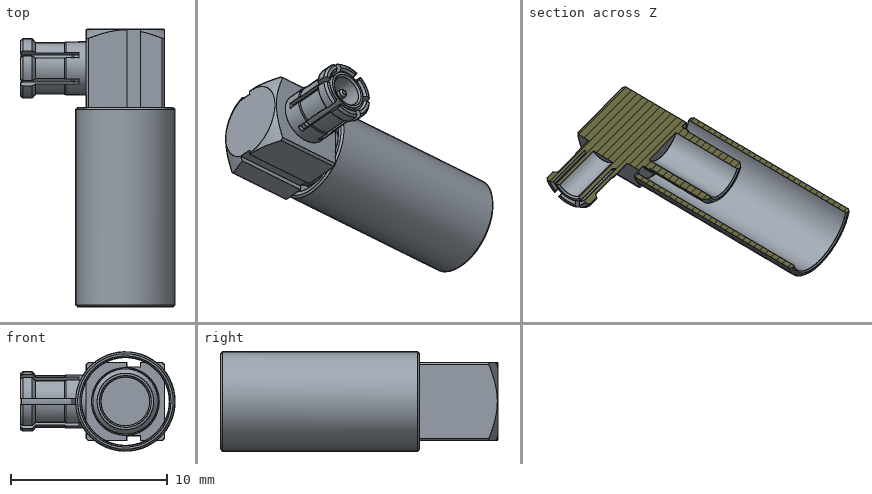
import cadquery as cq
import math


body_side = 5.0
body_half = body_side / 2
body_corner_radius = 3.43
back_face_radius = 2.42
back_cone_angle = 30.0
groove_width = 0.85
groove_depth = 0.3
groove_left_x = 0.1

sleeve_radius = 6.35 / 2
sleeve_bore_radius = 2.8
sleeve_length = 12.7
sleeve_outer_chamfer = 0.13
sleeve_inner_chamfer = 0.1

collar_radius = 2.16
collar_length = 0.5
spigot_radius = 2.08
spigot_length = 5.0
spigot_tip_radius = 1.8
spigot_bore_radius = 1.55
spigot_edge_chamfer = 0.1

plug_tip_x = -6.7
head_radius = 1.9
head_start_x = -6.53
head_end_x = -5.94
head_chamfer = 0.13
neck_radius = 1.65
neck_start_x = -5.72
neck_end_x = -3.89
root_radius = 1.7
root_start_x = -3.8

finger_bore_radius = 1.4
finger_mouth_chamfer = 0.15
tube_tip_x = plug_tip_x + 0.06
tube_radius = 1.27
gap_cone_start_x = -3.42
gap_end_x = -3.28
tube_bore_radius = 1.0
tube_mouth_chamfer = 0.12
tube_floor_x = -3.0

slot_count = 6
slot_width = 0.38
slot_end_x = -2.97

pin_radius = 0.28
pin_tip_x = -6.31
pin_chamfer = 0.13


def revolve_about_x(points):
    """Solid of revolution about the X axis from (x, radius) points."""
    return cq.Workplane("XY").polyline(points).close().revolve(360, (0, 0, 0), (1, 0, 0))


def revolve_about_y(points):
    """Solid of revolution about the Y axis from (radius, y) points."""
    return cq.Workplane("XY").polyline(points).close().revolve(360, (0, 0, 0), (0, 1, 0))


def make_body():
    """Cube with turned corners, a conical back edge and a groove above and below."""
    cone_length = (body_corner_radius - back_face_radius) * math.tan(math.radians(back_cone_angle))
    turned_blank = revolve_about_y([
        (0, -body_half),
        (body_corner_radius, -body_half),
        (body_corner_radius, body_half - cone_length),
        (back_face_radius, body_half),
        (0, body_half),
    ])
    body = cq.Workplane("XY").box(body_side, body_side, body_side).intersect(turned_blank)
    groove_centre_x = groove_left_x + groove_width / 2
    groove_centre_z = body_half - groove_depth / 2
    for side in (1, -1):
        groove = cq.Workplane("XY").box(groove_width, body_side, groove_depth)
        body = body.cut(groove.translate((groove_centre_x, 0, side * groove_centre_z)))
    return body


def make_sleeve():
    """Open thin-walled tube standing on the corners of the front face of the cube."""
    top_y = -body_half
    end_y = top_y - sleeve_length
    return revolve_about_y([
        (sleeve_bore_radius, top_y),
        (sleeve_radius - sleeve_outer_chamfer, top_y),
        (sleeve_radius, top_y - sleeve_outer_chamfer),
        (sleeve_radius, end_y + sleeve_outer_chamfer),
        (sleeve_radius - sleeve_outer_chamfer, end_y),
        (sleeve_bore_radius + sleeve_inner_chamfer, end_y),
        (sleeve_bore_radius, end_y + sleeve_inner_chamfer),
    ])


def make_spigot():
    """Short collared tube on the front face, tapered at its tip and blind at the cube."""
    base_y = -body_half
    collar_y = base_y - collar_length
    tip_y = base_y - spigot_length
    taper_length = spigot_radius - spigot_tip_radius
    return revolve_about_y([
        (spigot_bore_radius, base_y),
        (collar_radius, base_y),
        (collar_radius, collar_y),
        (spigot_radius, collar_y),
        (spigot_radius, tip_y + taper_length),
        (spigot_tip_radius, tip_y),
        (spigot_bore_radius + spigot_edge_chamfer, tip_y),
        (spigot_bore_radius, tip_y + spigot_edge_chamfer),
    ])


def make_fingers():
    """Outer shell of the plug, split into fingers by radial slots."""
    shell = revolve_about_x([
        (-body_half, finger_bore_radius),
        (-body_half, root_radius),
        (root_start_x, root_radius),
        (neck_end_x, neck_radius),
        (neck_start_x, neck_radius),
        (head_end_x, head_radius),
        (head_start_x, head_radius),
        (plug_tip_x, head_radius - head_chamfer),
        (plug_tip_x, finger_bore_radius + finger_mouth_chamfer),
        (plug_tip_x + finger_mouth_chamfer, finger_bore_radius),
    ])
    slot_length = slot_end_x - plug_tip_x
    slot_centre_x = (slot_end_x + plug_tip_x) / 2
    slot_reach = 2 * head_radius
    for index in range(slot_count):
        slot = cq.Workplane("XY").box(slot_length, slot_reach, slot_width)
        slot = slot.translate((slot_centre_x, slot_reach / 2, 0))
        angle = index * 360 / slot_count
        shell = shell.cut(slot.rotate((0, 0, 0), (1, 0, 0), angle))
    return shell


def make_tube():
    """Inner tube of the plug, flaring out to close the gap behind the fingers."""
    return revolve_about_x([
        (-body_half, 0),
        (-body_half, finger_bore_radius),
        (gap_end_x, finger_bore_radius),
        (gap_cone_start_x, tube_radius),
        (tube_tip_x, tube_radius),
        (tube_tip_x, tube_bore_radius + tube_mouth_chamfer),
        (tube_tip_x + tube_mouth_chamfer, tube_bore_radius),
        (tube_floor_x, tube_bore_radius),
        (tube_floor_x, 0),
    ])


def make_pin():
    """Chamfered contact pin standing on the floor of the tube."""
    return revolve_about_x([
        (tube_floor_x, 0),
        (tube_floor_x, pin_radius),
        (pin_tip_x + pin_chamfer, pin_radius),
        (pin_tip_x, pin_radius - pin_chamfer),
        (pin_tip_x, 0),
    ])


result = make_body()
for piece in (make_sleeve(), make_spigot(), make_fingers(), make_tube(), make_pin()):
    result = result.union(piece)